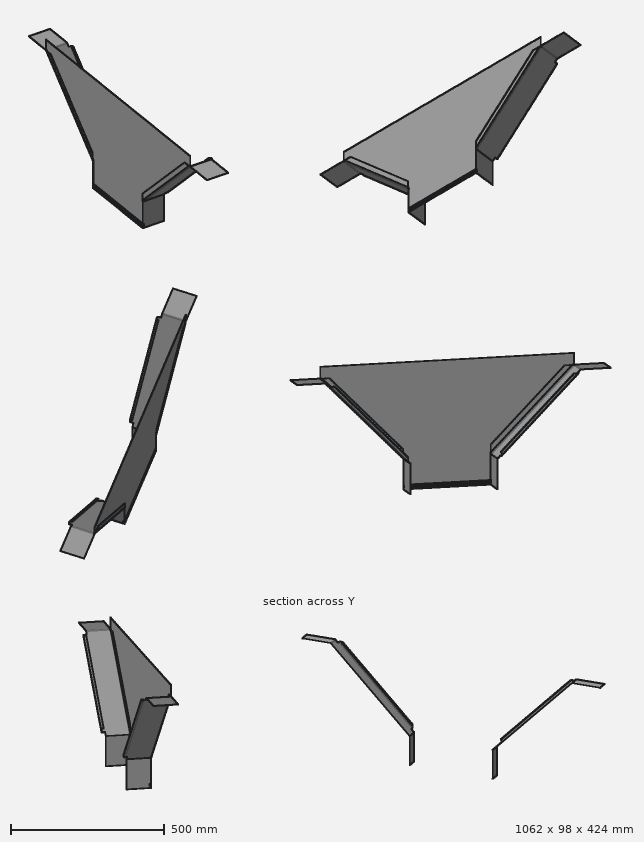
import cadquery as cq

height = 424.0
tab_span = 1062.0
mouth_width = 860.0
neck_width = 297.0
sheet = 1.6
bend_inside = 3.0
bend_outside = bend_inside + sheet

tab_underside = 383.0
tab_depth = 83.0
total_depth = 98.0
hem_crown = total_depth - sheet
front_lip_run = 32.0
hem_radius = 5.0
hem_edge = 87.0
hem_setback = 10.0

groove_top = 16.0
groove_floor_top = 13.0
groove_floor_bottom = 10.0
groove_bottom = 4.0
groove_depth = 4.0

half_mouth = mouth_width / 2
half_neck = neck_width / 2
wall_run = half_mouth - half_neck
wall_foot = tab_underside - wall_run
diagonal = 2 ** 0.5
bend_tangent = diagonal - 1
bend_shift = sheet * bend_tangent


def prism(points, y_start, y_end):
    """Extrude an XZ outline from y_start to y_end."""
    return (
        cq.Workplane("XZ", origin=(0, y_start, 0))
        .polyline(points)
        .close()
        .extrude(y_start - y_end)
    )


def box(x_start, x_end, y_start, y_end, z_start, z_end):
    """Box between two opposite corners."""
    return cq.Workplane("XY").box(
        x_end - x_start, y_end - y_start, z_end - z_start, centered=False
    ).translate((x_start, y_start, z_start))


def make_bent_strip():
    """Upper tab, sloping wall and lower tab of the left side, without lips."""
    outline = [
        (-tab_span / 2, tab_underside),
        (-half_mouth, tab_underside),
        (-half_neck, wall_foot),
        (-half_neck, 0),
        (-half_neck + sheet, 0),
        (-half_neck + sheet, wall_foot + bend_shift),
        (-half_mouth + bend_shift, tab_underside + sheet),
        (-tab_span / 2, tab_underside + sheet),
    ]
    strip = prism(outline, bend_inside, tab_depth)
    for radius, (x, z) in ((bend_inside, outline[1]), (bend_outside, outline[6])):
        corner = cq.selectors.NearestToPointSelector((x, tab_depth / 2, z))
        strip = strip.edges(corner).fillet(radius)
    upper_tab_end = -half_mouth - bend_inside * bend_tangent
    upper_tab = box(-tab_span / 2, upper_tab_end, 0, tab_depth, tab_underside, tab_underside + sheet)
    lower_tab = box(-half_neck, -half_neck + sheet, 0, tab_depth, 0, wall_foot)
    return strip.union(upper_tab).union(lower_tab)


def make_lip_channel():
    """Endless C-section following the slope: front lip, wall and rolled rear hem."""
    front_width = front_lip_run / diagonal
    overrun = front_lip_run
    slope = cq.Plane(
        origin=(-half_neck + overrun, 0, wall_foot - overrun), xDir=(1, 0, 1), normal=(-1, 0, 1)
    )
    front = -sheet
    outer_mid = bend_outside * (1 - 1 / diagonal)
    inner_mid = bend_outside - bend_inside / diagonal
    hem_start = hem_crown - hem_radius
    section = (
        cq.Workplane(slope)
        .moveTo(front_width, front)
        .lineTo(bend_outside, front)
        .threePointArc((outer_mid, front + outer_mid), (0, front + bend_outside))
        .lineTo(0, hem_start)
        .threePointArc((hem_radius, hem_crown), (2 * hem_radius, hem_start))
        .lineTo(2 * hem_radius, hem_edge)
        .lineTo(2 * hem_radius - sheet, hem_edge)
        .lineTo(2 * hem_radius - sheet, hem_start)
        .threePointArc((hem_radius, hem_crown - sheet), (sheet, hem_start))
        .lineTo(sheet, front + bend_outside)
        .threePointArc((inner_mid, front + inner_mid), (bend_outside, front + sheet))
        .lineTo(front_width, front + sheet)
        .close()
    )
    return section.extrude((wall_run + 2 * overrun) * diagonal)


def wall_end_trim(setback, y_start, y_end):
    """Block with a level top and an upright side that trims the channel's two ends."""
    right = -half_neck - setback
    top = tab_underside - setback
    return box(-tab_span / 2, right, y_start, y_end, 0, top)


def make_groove_outline(offset):
    """YZ points of the groove, moved back by offset."""
    return [
        (offset, groove_top),
        (offset + groove_depth, groove_floor_top),
        (offset + groove_depth, groove_floor_bottom),
        (offset, groove_bottom),
    ]


def make_side():
    """Left side: bent strip with its lips, pierced at the foot where the plate's groove ends."""
    channel = make_lip_channel()
    front_part = channel.intersect(wall_end_trim(0, -sheet, bend_inside))
    rear_part = channel.intersect(wall_end_trim(hem_setback, tab_depth, hem_crown))
    side = make_bent_strip().union(front_part).union(rear_part)
    opening = (
        cq.Workplane("YZ", origin=(-half_neck, 0, 0))
        .polyline(make_groove_outline(sheet))
        .close()
        .extrude(sheet)
    )
    return side.cut(opening)


def make_face_plate():
    """Funnel-shaped front sheet with a groove pressed in along its lower edge."""
    neck = half_neck - sheet
    edge_inset = bend_outside * diagonal
    shoulder_z = tab_underside + sheet
    shoulder_x = half_mouth - edge_inset + sheet
    neck_z = shoulder_z - (shoulder_x - neck)
    right_half = [
        (neck, 0),
        (neck, neck_z),
        (shoulder_x, shoulder_z),
        (half_mouth, shoulder_z),
        (half_mouth, height),
    ]
    left_half = [(-x, z) for x, z in reversed(right_half)]
    plate = prism(right_half + left_half, 0, sheet)
    window = box(-neck, neck, 0, sheet, groove_bottom, groove_top)
    groove = (
        cq.Workplane("YZ", origin=(-neck, 0, 0))
        .polyline(make_groove_outline(0) + make_groove_outline(sheet)[::-1])
        .close()
        .extrude(2 * neck)
    )
    return plate.cut(window).union(groove)


face_plate = make_face_plate()
left_side = make_side()
sides = [left_side, left_side.mirror("YZ")]

result = cq.Compound.makeCompound([face_plate.val(), *[side.val() for side in sides]])